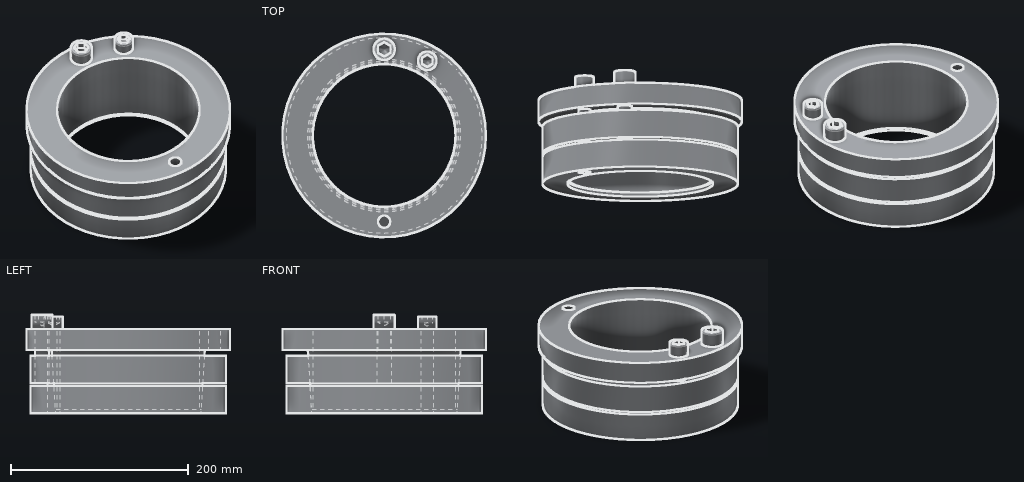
import cadquery as cq
import math

flange_diameter = 229.0
flange_bottom = 71.0
flange_top = 95.0
bore_diameter = 160.0
hub_bottom = 4.5
taper_top_radius = 86.0
taper_base_radius = 81.8

ring_diameter = 220.0
ring_height = 31.0
ring_gap = 3.0
upper_ring_bottom = ring_height + ring_gap

bolt_circle_radius = 96.9
small_screw_angle = 60.0
large_screw_angle = 90.0
jacking_hole_angle = -90.0
jacking_hole_diameter = 13.7

large_shank_diameter = 16.0
large_head_diameter = 24.0
large_socket_width = 14.0
large_shank_end = upper_ring_bottom
small_shank_diameter = 14.0
small_head_diameter = 21.0
small_socket_width = 12.0
small_shank_end = 0.0
head_fillet_ratio = 0.1
socket_depth_ratio = 0.5
socket_tip_angle = 120.0


def bolt_point(angle):
    """XY position on the bolt circle."""
    turn = math.radians(angle)
    return bolt_circle_radius * math.cos(turn), bolt_circle_radius * math.sin(turn)


def taper_radius(z):
    """Outer radius of the hub taper at height z."""
    return taper_base_radius + (taper_top_radius - taper_base_radius) * z / flange_bottom


def cylinder(center, diameter, bottom, top):
    """Upright cylinder between two heights."""
    return cq.Workplane("XY", origin=(*center, bottom)).circle(diameter / 2).extrude(top - bottom)


def make_hub():
    """Flange and tapered tube as one revolved profile, with its bolt holes."""
    bore_radius = bore_diameter / 2
    flange_radius = flange_diameter / 2
    profile = [
        (bore_radius, hub_bottom),
        (taper_radius(hub_bottom), hub_bottom),
        (taper_top_radius, flange_bottom),
        (flange_radius, flange_bottom),
        (flange_radius, flange_top),
        (bore_radius, flange_top),
    ]
    hub = cq.Workplane("XZ").polyline(profile).close().revolve(360, (0, 0), (0, 1))
    jacking_hole = cylinder(bolt_point(jacking_hole_angle), jacking_hole_diameter, flange_bottom, flange_top)
    return hub.cut(jacking_hole).cut(large_shank).cut(small_shank)


def make_ring(bottom):
    """Clamping ring whose bore follows the hub taper, with holes for the shanks that reach it."""
    top = bottom + ring_height
    outer_radius = ring_diameter / 2
    profile = [
        (taper_radius(bottom), bottom),
        (outer_radius, bottom),
        (outer_radius, top),
        (taper_radius(top), top),
    ]
    ring = cq.Workplane("XZ").polyline(profile).close().revolve(360, (0, 0), (0, 1))
    return ring.cut(large_shank).cut(small_shank)


def make_screw(shank, center, shank_diameter, head_diameter, socket_width):
    """Socket head screw: rounded head, hexagonal socket with a conical floor."""
    head_top = flange_top + shank_diameter
    head = cylinder(center, head_diameter, flange_top, head_top)
    head = head.faces(">Z").edges().fillet(shank_diameter * head_fillet_ratio)

    corner_radius = socket_width / 2 / math.cos(math.radians(30))
    cone_start = head_top - shank_diameter * socket_depth_ratio
    cone_depth = corner_radius / math.tan(math.radians(socket_tip_angle / 2))
    cone_tip = cone_start - cone_depth
    hexagon = (
        cq.Workplane("XY", origin=(*center, cone_tip))
        .transformed(rotate=(0, 0, 30))
        .polygon(6, 2 * corner_radius)
        .extrude(head_top - cone_tip)
    )
    cone = cq.Solid.makeCone(corner_radius, 0, cone_depth, cq.Vector(*center, cone_start), cq.Vector(0, 0, -1))
    floor = cylinder(center, 2 * corner_radius, cone_tip, cone_start).cut(cq.Workplane(cone))
    socket = hexagon.cut(floor)
    return head.union(shank).cut(socket)


large_center = bolt_point(large_screw_angle)
small_center = bolt_point(small_screw_angle)
large_shank = cylinder(large_center, large_shank_diameter, large_shank_end, flange_top)
small_shank = cylinder(small_center, small_shank_diameter, small_shank_end, flange_top)

hub = make_hub()
rings = [make_ring(bottom) for bottom in (0, upper_ring_bottom)]
large_screw = make_screw(
    large_shank, large_center, large_shank_diameter, large_head_diameter, large_socket_width
)
small_screw = make_screw(
    small_shank, small_center, small_shank_diameter, small_head_diameter, small_socket_width
)

result = cq.Compound.makeCompound(
    [hub.val(), *[ring.val() for ring in rings], large_screw.val(), small_screw.val()]
)